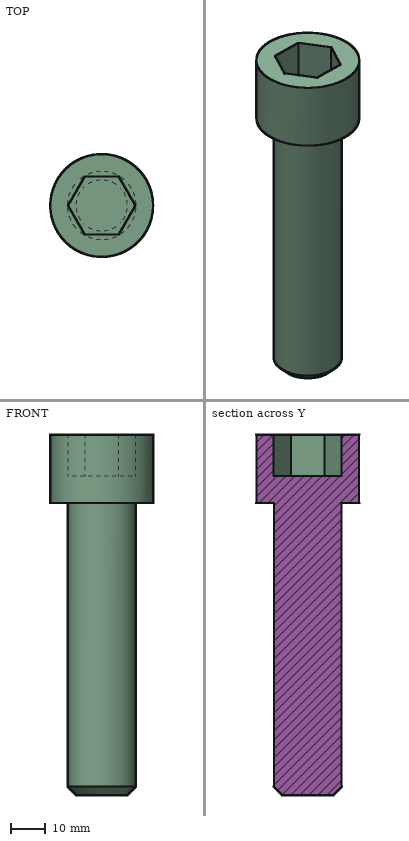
import cadquery as cq
import math

total_length = 105.0
head_diameter = 30.0
head_height = 20.0
shank_diameter = 20.0
tip_chamfer = 2.5
socket_across_flats = 17.0
socket_depth = 12.0

tip_z = -total_length / 2
top_z = total_length / 2
shank_length = total_length - head_height


def cylinder(diameter, base_z, height):
    return cq.Workplane("XY").workplane(offset=base_z).circle(diameter / 2).extrude(height)


head = cylinder(head_diameter, top_z - head_height, head_height)
shank = cylinder(shank_diameter, tip_z, shank_length).faces("<Z").chamfer(tip_chamfer)

socket_across_corners = socket_across_flats / math.cos(math.pi / 6)
socket = (
    cq.Workplane("XY")
    .workplane(offset=top_z - socket_depth)
    .polygon(6, socket_across_corners)
    .extrude(socket_depth)
)

result = shank.union(head).cut(socket)